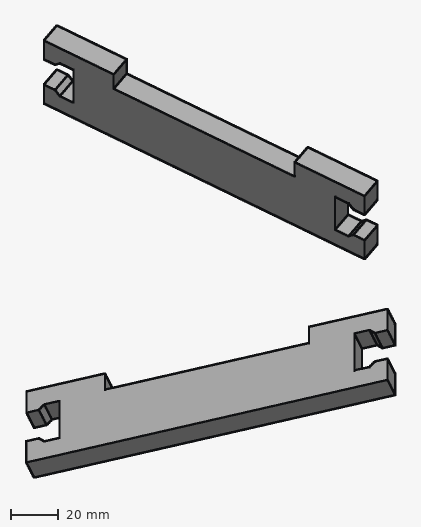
import cadquery as cq

length = 159.4
thickness = 10.0
height = 40.0

recess_length = 89.9
recess_depth = 9.1

mouth_height = 16.0
slot_height = 20.7
slot_depth = 14.7
lip_length = 5.5
bevel_length = 2.4
right_top_setback = 0.08


def end_slot():
    """Slot opening at the left end, widening behind two bevelled lips."""
    end = -length / 2
    lip_end = end + lip_length
    bevel_end = lip_end + bevel_length
    floor = end + slot_depth
    upper_half = [
        (end, mouth_height / 2),
        (lip_end, mouth_height / 2),
        (bevel_end, slot_height / 2),
        (floor, slot_height / 2),
    ]
    lower_half = [(x, -z) for x, z in reversed(upper_half)]
    return (
        cq.Workplane("XZ")
        .polyline(upper_half + lower_half)
        .close()
        .extrude(thickness / 2, both=True)
    )


def top_recess():
    """Long shallow recess centred on the top edge."""
    return (
        cq.Workplane("XY")
        .box(recess_length, thickness, recess_depth)
        .translate((0, 0, (height - recess_depth) / 2))
    )


def upper_right_trim():
    """Sliver removed from the right end above the slot."""
    return (
        cq.Workplane("XY")
        .box(right_top_setback, thickness, height / 2)
        .translate(((length - right_top_setback) / 2, 0, height / 4))
    )


left_slot = end_slot()
right_slot = left_slot.mirror("YZ")

plate = cq.Workplane("XY").box(length, thickness, height)
result = plate.cut(top_recess()).cut(left_slot).cut(right_slot).cut(upper_right_trim())